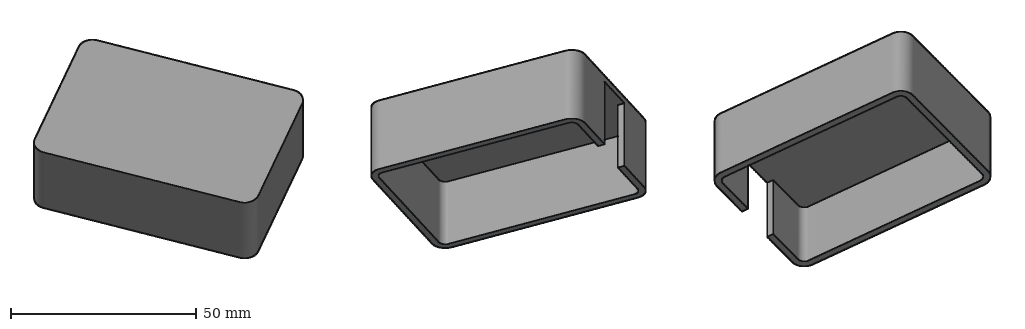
import cadquery as cq

length = 64.0
width = 44.0
height = 22.0
corner_radius = 4.0

wall = 2.0
roof = 2.0

slot_width = 12.0
slot_height = height - roof


def rounded_block(size_x, size_y, size_z, radius):
    """Block standing on Z = 0 with rounded vertical edges."""
    block = cq.Workplane("XY").box(size_x, size_y, size_z, centered=(True, True, False))
    return block.edges("|Z").fillet(radius)


outer = rounded_block(length, width, height, corner_radius)

cavity = rounded_block(length - 2 * wall, width - 2 * wall, height - roof, corner_radius - wall)

slot_depth = 2 * wall
slot = (
    cq.Workplane("XY")
    .box(slot_depth, slot_width, slot_height, centered=(False, True, False))
    .translate((-length / 2, 0, 0))
)

result = outer.cut(cavity).cut(slot)